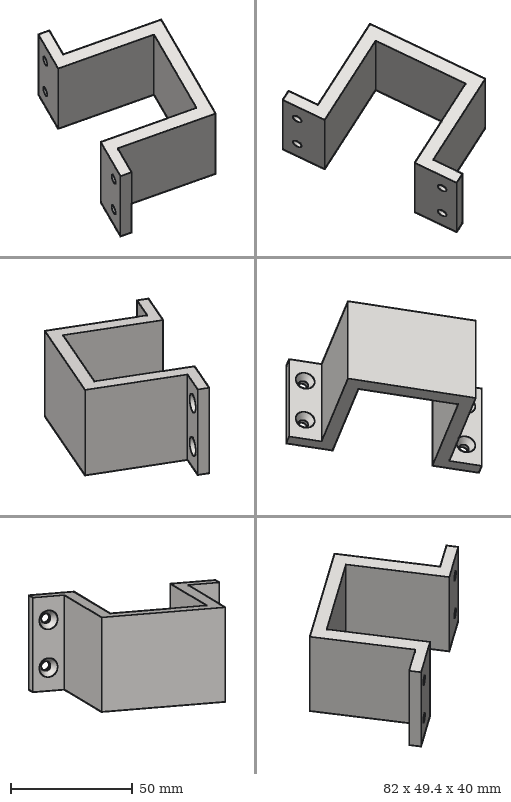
import cadquery as cq

width = 82.0
depth = 49.4
height = 40.0

channel_width = 54.4
wall = 6.0
flange_thickness = 5.0

hole_diameter = 4.0
hole_spacing_x = 68.3
hole_spacing_z = 20.2
hole_straight_depth = 2.0
countersink_diameter = 2 * hole_diameter

front_y = -depth / 2
back_y = depth / 2


def centered_block(size_x, start_y, end_y):
    """Full-height block centred on X and Z, spanning the given Y range."""
    center_y = (start_y + end_y) / 2
    return cq.Workplane("XY").box(size_x, end_y - start_y, height).translate((0, center_y, 0))


flanges = centered_block(width, front_y, front_y + flange_thickness)
channel = centered_block(channel_width, front_y, back_y)
opening = centered_block(channel_width - 2 * wall, front_y, back_y - wall)
bracket = flanges.union(channel).cut(opening)

hole_radius = hole_diameter / 2
countersink_radius = countersink_diameter / 2
hole_profile = (
    cq.Workplane("XY")
    .lineTo(hole_radius, 0)
    .lineTo(hole_radius, hole_straight_depth)
    .lineTo(countersink_radius, flange_thickness)
    .lineTo(0, flange_thickness)
    .close()
)
hole_cutter = hole_profile.revolve(360, (0, 0, 0), (0, 1, 0))

for side_x in (-1, 1):
    for side_z in (-1, 1):
        hole_position = (side_x * hole_spacing_x / 2, front_y, side_z * hole_spacing_z / 2)
        bracket = bracket.cut(hole_cutter.translate(hole_position))

result = bracket